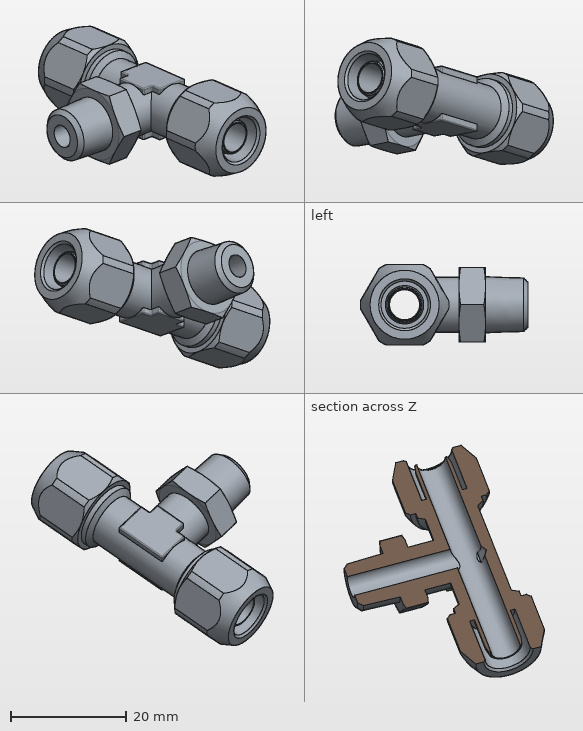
import cadquery as cq
import math

run_length = 45.0
branch_reach = 21.45
half_run = run_length / 2

tube_radius = 4.8
run_bore_radius = 2.6
collar_radius = 6.05
collar_end = 10.1
collar_chamfer_end = 9.4

nut_flats = 14.0
nut_corner_radius = 7.7
nut_length = 11.45
nut_nose_radius = 6.0
nut_nose_length = 3.4
nut_back_radius = 6.98
nut_back_length = 0.68

mouth_radius = 4.5
socket_radius = 4.1
socket_depth = 9.0
sleeve_radius = 3.35
sleeve_shoulder_radius = 3.05
sleeve_face_radius = 2.85
sleeve_face_depth = 1.55
sleeve_nose_length = 0.22
sleeve_taper_length = 1.35

pad_height = 4.9
pad_half_width = 5.0
pad_back = 3.15
pad_shoulder = 2.92
pad_stem_half_width = 3.05
pad_front = 4.95
pad_edge = 0.22

hex_flats = 13.0
hex_back = 9.45
hex_front = 14.05
hex_chamfer_angle = 15.0

thread_base_radius = 4.9
thread_tip_radius = 4.7
thread_chamfer_length = 0.8
thread_face_radius = 3.85
branch_bore_radius = 2.02
drill_depth = 2.02
drill_point_half_angle = 59.0


def revolve_about_x(points):
    """Close an (x, radius) outline onto the X axis and revolve it."""
    outline = [(points[0][0], 0), *points, (points[-1][0], 0)]
    return cq.Workplane("XY").polyline(outline).close().revolve(360, (0, 0, 0), (1, 0, 0))


def revolve_about_y(points):
    """Revolve a (radius, y) outline, whose last point lies on the Y axis, about that axis."""
    outline = [(0, points[0][1]), *points]
    return cq.Workplane("XY").polyline(outline).close().revolve(360, (0, 0, 0), (0, 1, 0))


def across_corners(flats):
    return flats / math.cos(math.pi / 6)


def make_union_nut():
    """Hexagonal nut on the -X end, with flats up and down and turned ends."""
    inner_x = -half_run + nut_length
    hexagon = (
        cq.Workplane("YZ", origin=(-half_run, 0, 0))
        .polygon(6, across_corners(nut_flats))
        .extrude(nut_length)
    )
    envelope = revolve_about_x([
        (-half_run, nut_nose_radius),
        (-half_run + nut_nose_length, nut_corner_radius),
        (inner_x - nut_back_length, nut_corner_radius),
        (inner_x, nut_back_radius),
    ])
    return hexagon.intersect(envelope)


def make_collar():
    """Round collar between the nut and the tube body."""
    return revolve_about_x([
        (-half_run + nut_length / 2, collar_radius),
        (-collar_end, collar_radius),
        (-collar_chamfer_end, tube_radius),
    ])


def make_socket():
    """Annular tube socket cut into the -X end, leaving a tapered sleeve standing inside."""
    floor_x = -half_run + socket_depth
    sleeve_x = -half_run + sleeve_face_depth
    opening = revolve_about_x([
        (-half_run, mouth_radius),
        (-half_run + mouth_radius - socket_radius, socket_radius),
        (floor_x, socket_radius),
    ])
    sleeve = revolve_about_x([
        (sleeve_x, sleeve_face_radius),
        (sleeve_x + sleeve_nose_length, sleeve_shoulder_radius),
        (sleeve_x + sleeve_nose_length + sleeve_taper_length, sleeve_radius),
        (floor_x, sleeve_radius),
    ])
    return opening.cut(sleeve)


def make_pads():
    """T-shaped block whose flat faces stand just proud of the tubes."""
    half_outline = [
        (pad_half_width, pad_back),
        (pad_half_width, -pad_shoulder),
        (pad_stem_half_width, -pad_shoulder),
        (pad_stem_half_width, -pad_front),
    ]
    mirrored = [(-x, y) for x, y in reversed(half_outline)]
    block = (
        cq.Workplane("XY", origin=(0, 0, -pad_height))
        .polyline(half_outline + mirrored)
        .close()
        .extrude(2 * pad_height)
    )
    return block.edges().fillet(pad_edge)


def make_branch_hex():
    """Hexagon on the branch, with chamfered corners on both faces."""
    corner_radius = across_corners(hex_flats) / 2
    face_radius = hex_flats / 2
    chamfer_length = (corner_radius - face_radius) * math.tan(math.radians(hex_chamfer_angle))
    hexagon = (
        cq.Workplane("XZ", origin=(0, -hex_back, 0))
        .polygon(6, across_corners(hex_flats))
        .extrude(hex_front - hex_back)
    )
    envelope = revolve_about_y([
        (face_radius, -hex_back),
        (corner_radius, -hex_back - chamfer_length),
        (corner_radius, -hex_front + chamfer_length),
        (face_radius, -hex_front),
        (0, -hex_front),
    ])
    return hexagon.intersect(envelope)


def make_branch():
    """Branch tube followed by the tapered thread body."""
    return revolve_about_y([
        (tube_radius, 0),
        (tube_radius, -hex_front),
        (thread_base_radius, -hex_front),
        (thread_tip_radius, -branch_reach + thread_chamfer_length),
        (thread_face_radius, -branch_reach),
        (0, -branch_reach),
    ])


def make_branch_bore():
    """Drilled hole through the thread and across the run, with a conical bottom."""
    point_length = branch_bore_radius / math.tan(math.radians(drill_point_half_angle))
    return revolve_about_y([
        (branch_bore_radius, -branch_reach),
        (branch_bore_radius, drill_depth),
        (0, drill_depth + point_length),
    ])


run_tube = cq.Workplane("YZ").circle(tube_radius).extrude(collar_end, both=True)
run_bore = cq.Workplane("YZ").circle(run_bore_radius).extrude(half_run, both=True)

result = run_tube.union(make_branch()).union(make_pads()).union(make_branch_hex())
for end_feature in (make_union_nut(), make_collar()):
    result = result.union(end_feature).union(end_feature.mirror("YZ"))

result = result.cut(run_bore).cut(make_branch_bore())
socket = make_socket()
result = result.cut(socket).cut(socket.mirror("YZ"))